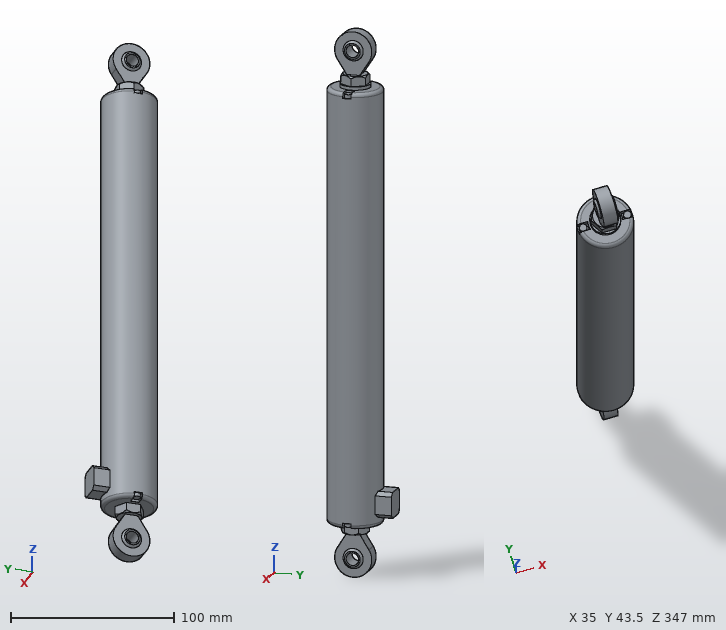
import cadquery as cq
import math

TOTAL_LENGTH = 347.0
TOTAL_DEPTH = 43.5
TUBE_BOTTOM = 34.0
TUBE_TOP = 311.2

TUBE_DIAMETER = 35.0
TUBE_EDGE_FILLET = 2.5

SLOT_WIDTH = 5.2
SLOT_DEPTH = 3.5
SLOT_INNER_DIAMETER = 21.5
STUD_DIAMETER = 5.0
STUD_OFFSET = 14.2
STUD_HEIGHT = 2.5

ROD_DIAMETER = 19.0
ROD_EXPOSED_LENGTH = 2.0

NUT_SIDES = 6
NUT_ACROSS_FLATS = 16.0
NUT_HEIGHT = 6.2
NUT_CORNER_DIAMETER = NUT_ACROSS_FLATS / math.cos(math.pi / NUT_SIDES)
NUT_CHAMFER_DIAMETER = 15.5
NUT_CHAMFER_HEIGHT = 1.5
LOWER_NUT_TURN = 90
UPPER_NUT_TURN = 0

EYE_DIAMETER = 24.0
EYE_RADIUS = EYE_DIAMETER / 2
EYE_THICKNESS = 9.0
NECK_WIDTH = 8.3
BALL_WIDTH = 12.0
BALL_FACE_DIAMETER = 10.0
BALL_RADIUS = math.hypot(BALL_WIDTH / 2, BALL_FACE_DIAMETER / 2)
EYE_BORE = 8.0

PORT_SIZE = 16.5
PORT_CHAMFER = 2.5
PORT_REACH = TOTAL_DEPTH - TUBE_DIAMETER / 2
PORT_HEIGHT = 48.2


def eye(neck_length):
    """Plate eye centred on the origin, its neck pointing to -Z, with a bored ball in it."""
    neck_half = NECK_WIDTH / 2
    neck_distance = math.hypot(neck_half, neck_length)
    tangent_angle = math.acos(EYE_RADIUS / neck_distance) - math.atan2(neck_length, neck_half)
    tangent_y = EYE_RADIUS * math.cos(tangent_angle)
    tangent_z = EYE_RADIUS * math.sin(tangent_angle)
    plate = (
        cq.Workplane("YZ", origin=(-EYE_THICKNESS / 2, 0, 0))
        .moveTo(-neck_half, -neck_length)
        .lineTo(neck_half, -neck_length)
        .lineTo(tangent_y, tangent_z)
        .threePointArc((0, EYE_RADIUS), (-tangent_y, tangent_z))
        .close()
        .extrude(EYE_THICKNESS)
    )
    ball = (
        cq.Workplane("XY")
        .moveTo(-BALL_WIDTH / 2, 0)
        .lineTo(-BALL_WIDTH / 2, BALL_FACE_DIAMETER / 2)
        .threePointArc((0, BALL_RADIUS), (BALL_WIDTH / 2, BALL_FACE_DIAMETER / 2))
        .lineTo(BALL_WIDTH / 2, 0)
        .close()
        .revolve(360, (0, 0, 0), (1, 0, 0))
    )
    bore = cq.Workplane("YZ").circle(EYE_BORE / 2).extrude(BALL_WIDTH, both=True)
    return plate.union(ball).cut(bore)


def nut():
    """Hexagonal nut standing on the origin, corners on X, its top corners chamfered."""
    hexagon = cq.Workplane("XY").polygon(NUT_SIDES, NUT_CORNER_DIAMETER).extrude(NUT_HEIGHT)
    chamfer_start = NUT_HEIGHT - NUT_CHAMFER_HEIGHT
    envelope = (
        cq.Workplane("XZ")
        .polyline(
            [
                (0, 0),
                (NUT_CORNER_DIAMETER / 2, 0),
                (NUT_CORNER_DIAMETER / 2, chamfer_start),
                (NUT_CHAMFER_DIAMETER / 2, NUT_HEIGHT),
                (0, NUT_HEIGHT),
            ]
        )
        .close()
        .revolve(360, (0, 0, 0), (0, 1, 0))
    )
    return hexagon.intersect(envelope)


def nut_and_eye(nut_turn, tip_distance):
    """Nut on the origin, turned by nut_turn degrees, with an eye above it that reaches up to tip_distance."""
    eye_height = tip_distance - EYE_RADIUS
    turned_nut = nut().rotate((0, 0, 0), (0, 0, 1), nut_turn)
    return turned_nut.union(eye(eye_height - NUT_HEIGHT).translate((0, 0, eye_height)))


def port_block():
    """Square block with chamfered corners that reaches from the tube axis towards +Y."""
    return (
        cq.Workplane("XZ", origin=(0, 0, PORT_HEIGHT))
        .rect(PORT_SIZE, PORT_SIZE)
        .extrude(-PORT_REACH)
        .edges("|Y")
        .chamfer(PORT_CHAMFER)
    )


def end_slots():
    """Cutter for the two slots in a top face at Z = 0, along X through the rim, around a stud each."""
    slots = cq.Workplane("XY").rect(2 * TUBE_DIAMETER, SLOT_WIDTH).extrude(SLOT_DEPTH, both=True)
    core = cq.Workplane("XY").circle(SLOT_INNER_DIAMETER / 2).extrude(SLOT_DEPTH, both=True)
    studs = (
        cq.Workplane("XY", origin=(0, 0, -SLOT_DEPTH))
        .pushPoints([(-STUD_OFFSET, 0), (STUD_OFFSET, 0)])
        .circle(STUD_DIAMETER / 2)
        .extrude(STUD_HEIGHT)
    )
    return slots.cut(core).cut(studs)


def flipped(body):
    """The body turned upside down about the X axis."""
    return body.rotate((0, 0, 0), (1, 0, 0), 180)


def make_housing():
    """Tube with its end slots, port block, lower nut and lower eye."""
    tube = (
        cq.Workplane("XY", origin=(0, 0, TUBE_BOTTOM))
        .circle(TUBE_DIAMETER / 2)
        .extrude(TUBE_TOP - TUBE_BOTTOM)
        .faces("<Z or >Z")
        .edges()
        .fillet(TUBE_EDGE_FILLET)
    )
    tube = tube.cut(end_slots().translate((0, 0, TUBE_TOP)))
    tube = tube.cut(flipped(end_slots()).translate((0, 0, TUBE_BOTTOM)))
    lower_end = flipped(nut_and_eye(LOWER_NUT_TURN, TUBE_BOTTOM))
    return tube.union(port_block()).union(lower_end.translate((0, 0, TUBE_BOTTOM)))


def make_rod():
    """Rod end standing on the top face of the tube, with the upper nut and upper eye."""
    nut_base = TUBE_TOP + ROD_EXPOSED_LENGTH
    rod = cq.Workplane("XY", origin=(0, 0, TUBE_TOP)).circle(ROD_DIAMETER / 2).extrude(ROD_EXPOSED_LENGTH)
    return rod.union(nut_and_eye(UPPER_NUT_TURN, TOTAL_LENGTH - nut_base).translate((0, 0, nut_base)))


housing = make_housing()
rod = make_rod()
result = cq.Compound.makeCompound([housing.solids().val(), rod.solids().val()])